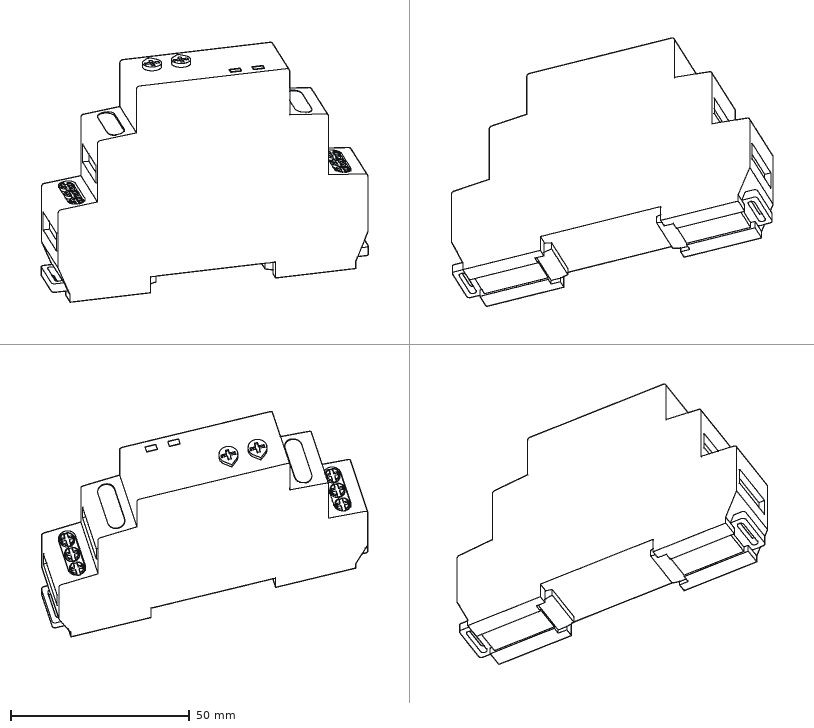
import cadquery as cq
import math

WIDTH = 17.8
MID_X = WIDTH / 2
TOTAL_LENGTH = 92.0
TOTAL_HEIGHT = 65.9
END_SIDES = (-1, 1)

TOP_Z = 64.7
TOP_HALF = 22.3
MIDDLE_HALF = 33.6
LOWER_HALF = 45.0
FOOT_HALF = 41.5
MIDDLE_SHELF_Z = 50.2
LOWER_SHELF_Z = 30.2
SHELF_ANGLE = 5.8
EDGE_RADIUS = 0.9
TAPER_TOP_Z = 11.0
TAPER_BOTTOM_Z = 2.3
RAIL_HALF = 18.1
RAIL_HEIGHT = 5.0

WINDOW_WIDTH = 14.2
WINDOW_HEIGHT = 5.5
WINDOW_DEPTH = 1.8
LOWER_WINDOW_Z = 18.3
MIDDLE_WINDOW_Z = 38.0

POCKET_LENGTH = 14.9
POCKET_WIDTH = 4.9
MIDDLE_POCKET_Y = 27.2
MIDDLE_POCKET_FLOOR_Z = 49.4
SCREW_POCKET_Y = 38.6
SCREW_POCKET_FLOOR_Z = 28.5

SCREW_COUNT = 3
SCREW_DIAMETER = 4.2
SCREW_PITCH = (POCKET_LENGTH - POCKET_WIDTH) / (SCREW_COUNT - 1)
SCREW_TOP_Z = 29.6
SCREW_SLOT_WIDTH = 1.0
SCREW_SHORT_SLOT = 3.0
SCREW_SLOT_DEPTH = 0.7
SCREW_CHAMFER = 0.3

KNOB_X = 6.6
KNOB_YS = (-6.3, -14.7)
KNOB_RADIUS = 2.7
KNOB_TIP = 3.5
KNOB_SLOT_WIDTH = 0.8
KNOB_SLOT_LENGTH_X = 3.1
KNOB_SLOT_LENGTH_Y = 4.05
KNOB_SLOT_DEPTH = 0.6

LAMP_X = 15.2
LAMP_YS = (13.8, 7.2)
LAMP_WIDTH = 1.7
LAMP_LENGTH = 3.1
LAMP_HEIGHT = 0.2

LATCH_WIDTH = 12.4
TAB_CORNER_RADIUS = 0.9
TAB_BAR = 1.5
TAB_SLOT_START = 42.6
TAB_SLOT_RADIUS = 0.8
TONGUE_REACH = 2.3
TONGUE_BASE_Z = (1.3, 4.6)
TONGUE_TIP_Z = (1.8, 4.05)

CHANNEL_WIDTH = 7.9
CHANNEL_HEIGHT = 0.55
OUTER_RECESS_DEPTH = 1.4
INNER_RECESS_DEPTH = 2.8


def block(size, x, y, bottom_z):
    """Box centred on (x, y) and standing on bottom_z."""
    return cq.Workplane("XY").box(*size, centered=(True, True, False)).translate((x, y, bottom_z))


def y_block(width, y_near, y_far, z_low, z_high):
    """Box centred across the module between two Y and two Z positions."""
    size = (width, abs(y_far - y_near), z_high - z_low)
    return block(size, MID_X, (y_near + y_far) / 2, z_low)


def cross(length_x, length_y, slot_width, depth, x, y, top_z):
    """Cross-shaped driver recess cutter reaching down from top_z."""
    bar_x = block((length_x, slot_width, depth), x, y, top_z - depth)
    bar_y = block((slot_width, length_y, depth), x, y, top_z - depth)
    return bar_x.union(bar_y)


def housing():
    slope = math.tan(math.radians(SHELF_ANGLE))
    middle_edge_z = MIDDLE_SHELF_Z - (MIDDLE_HALF - TOP_HALF) * slope
    lower_edge_z = LOWER_SHELF_Z - (LOWER_HALF - MIDDLE_HALF) * slope
    half = [
        (RAIL_HALF, RAIL_HEIGHT),
        (RAIL_HALF, 0),
        (FOOT_HALF, 0),
        (FOOT_HALF, TAPER_BOTTOM_Z),
        (LOWER_HALF, TAPER_TOP_Z),
        (LOWER_HALF, lower_edge_z),
        (MIDDLE_HALF, LOWER_SHELF_Z),
        (MIDDLE_HALF, middle_edge_z),
        (TOP_HALF, MIDDLE_SHELF_Z),
        (TOP_HALF, TOP_Z),
    ]
    other_half = [(-y, z) for y, z in reversed(half)]
    body = cq.Workplane("YZ").polyline(half + other_half).close().extrude(WIDTH)
    rounded_edges = ((LOWER_HALF, lower_edge_z), (MIDDLE_HALF, middle_edge_z), (TOP_HALF, TOP_Z))
    for y, z in rounded_edges:
        for side in END_SIDES:
            corner = cq.selectors.NearestToPointSelector((MID_X, side * y, z))
            body = body.edges("|X").edges(corner).fillet(EDGE_RADIUS)
    return body


def windows(side):
    cutter = cq.Workplane("XY")
    for wall, middle_z in ((LOWER_HALF, LOWER_WINDOW_Z), (MIDDLE_HALF, MIDDLE_WINDOW_Z)):
        low = middle_z - WINDOW_HEIGHT / 2
        high = middle_z + WINDOW_HEIGHT / 2
        cutter = cutter.union(y_block(WINDOW_WIDTH, side * (wall - WINDOW_DEPTH), side * wall, low, high))
    return cutter


def shelf_pocket(y, floor_z, shelf_z):
    """Level-floored pocket cutter, reaching up to the high edge of its shelf."""
    return (
        cq.Workplane("XY", origin=(MID_X, y, floor_z))
        .slot2D(POCKET_LENGTH, POCKET_WIDTH)
        .extrude(shelf_z - floor_z)
    )


def screws(side):
    y = side * SCREW_POCKET_Y
    row = cq.Workplane("XY")
    for index in range(SCREW_COUNT):
        x = MID_X + (index - (SCREW_COUNT - 1) / 2) * SCREW_PITCH
        screw = (
            cq.Workplane("XY", origin=(x, y, SCREW_POCKET_FLOOR_Z))
            .circle(SCREW_DIAMETER / 2)
            .extrude(SCREW_TOP_Z - SCREW_POCKET_FLOOR_Z)
            .faces(">Z")
            .chamfer(SCREW_CHAMFER)
        )
        slot = cross(
            SCREW_DIAMETER, SCREW_SHORT_SLOT, SCREW_SLOT_WIDTH, SCREW_SLOT_DEPTH, x, y, SCREW_TOP_Z
        )
        row = row.union(screw.cut(slot))
    return row


def knob(y):
    tangent_x = -KNOB_RADIUS ** 2 / KNOB_TIP
    tangent_y = math.sqrt(KNOB_RADIUS ** 2 - tangent_x ** 2)
    body = (
        cq.Workplane("XY", origin=(KNOB_X, y, TOP_Z))
        .moveTo(-KNOB_TIP, 0)
        .lineTo(tangent_x, -tangent_y)
        .threePointArc((KNOB_RADIUS, 0), (tangent_x, tangent_y))
        .close()
        .extrude(TOTAL_HEIGHT - TOP_Z)
    )
    slot = cross(
        KNOB_SLOT_LENGTH_X, KNOB_SLOT_LENGTH_Y, KNOB_SLOT_WIDTH, KNOB_SLOT_DEPTH, KNOB_X, y, TOTAL_HEIGHT
    )
    return body.cut(slot)


def latch_clearance(side):
    foot = side * FOOT_HALF
    rail = side * RAIL_HALF
    channel = y_block(CHANNEL_WIDTH, rail, foot, 0, CHANNEL_HEIGHT)
    outer = y_block(CHANNEL_WIDTH, foot - side * OUTER_RECESS_DEPTH, foot, 0, TAPER_BOTTOM_Z)
    inner = y_block(LATCH_WIDTH, rail, rail + side * INNER_RECESS_DEPTH, 0, TONGUE_BASE_Z[0])
    return channel.union(outer).union(inner)


def pull_tab(side):
    end = TOTAL_LENGTH / 2
    root = FOOT_HALF - OUTER_RECESS_DEPTH
    slot_end = end - TAB_BAR
    tab = y_block(LATCH_WIDTH, side * root, side * end, TAPER_BOTTOM_Z, RAIL_HEIGHT)
    outer_face = ">Y" if side > 0 else "<Y"
    tab = tab.faces(outer_face).edges("|Z").fillet(TAB_CORNER_RADIUS)
    slot_width = LATCH_WIDTH - 2 * TAB_BAR
    slot = y_block(slot_width, side * TAB_SLOT_START, side * slot_end, TAPER_BOTTOM_Z, RAIL_HEIGHT)
    return tab.cut(slot.edges("|Z").fillet(TAB_SLOT_RADIUS))


def tongue(side):
    base = side * RAIL_HALF
    tip = side * (RAIL_HALF - TONGUE_REACH)
    base_low, base_high = TONGUE_BASE_Z
    tip_low, tip_high = TONGUE_TIP_Z
    return (
        cq.Workplane("YZ", origin=(MID_X, 0, 0))
        .polyline([(base, base_low), (tip, tip_low), (tip, tip_high), (base, base_high)])
        .close()
        .extrude(LATCH_WIDTH / 2, both=True)
    )


result = housing()
for end_side in END_SIDES:
    result = result.cut(windows(end_side))
    result = result.cut(shelf_pocket(end_side * MIDDLE_POCKET_Y, MIDDLE_POCKET_FLOOR_Z, MIDDLE_SHELF_Z))
    result = result.cut(shelf_pocket(end_side * SCREW_POCKET_Y, SCREW_POCKET_FLOOR_Z, LOWER_SHELF_Z))
    result = result.cut(latch_clearance(end_side))
    result = result.union(screws(end_side))
    result = result.union(pull_tab(end_side))
    result = result.union(tongue(end_side))
for knob_y in KNOB_YS:
    result = result.union(knob(knob_y))
for lamp_y in LAMP_YS:
    result = result.union(block((LAMP_WIDTH, LAMP_LENGTH, LAMP_HEIGHT), LAMP_X, lamp_y, TOP_Z))